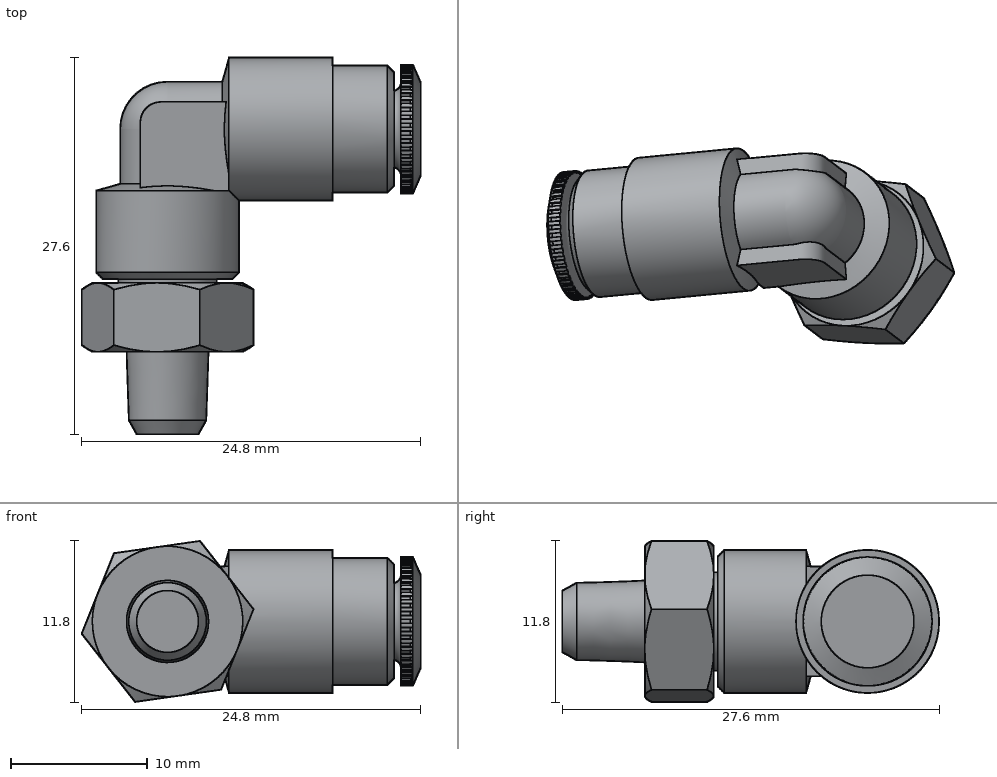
import cadquery as cq
import math


elbow_radius = 3.47
shoulder_start = 4.0
barrel_start = 4.5
barrel_radius = 5.23

web_offset = 1.98
web_thickness = 8.05
web_corner_radius = 1.5

tube_barrel_end = 12.07
sleeve_radius = 4.65
sleeve_end = 16.55
edge_chamfer = 0.5

collar_neck_radius = 2.8
collar_flare_end_radius = 3.35
collar_flare_arc = 0.65
rim_start = 17.05
rim_radius = 4.7
rim_end = 17.94
collar_end = 18.5
collar_end_radius = 3.4

groove_count = 50
groove_depth = 0.15
groove_floor_end = 17.75
groove_width = math.pi * rim_radius / groove_count

overall_length = 27.55
thread_end = overall_length - barrel_radius
thread_barrel_end = 10.96
shank_radius = 3.6
nut_start = 11.25
nut_end = 16.28
nut_across_flats = 11.0
nut_angle = 8.1
nut_chamfer_angle = 30.0
thread_root_radius = 3.0
thread_tip_radius = 2.85
thread_taper_end = 21.27
thread_end_radius = 2.25


def turned(profile):
    """Solid turned about the X axis from (station, radius) points."""
    axis_start = (profile[0][0], 0)
    axis_end = (profile[-1][0], 0)
    outline = [axis_start] + profile + [axis_end]
    return cq.Workplane("XY").polyline(outline).close().revolve(360, (0, 0, 0), (1, 0, 0))


def tube_arm():
    return turned([
        (0, elbow_radius),
        (shoulder_start, elbow_radius),
        (barrel_start, barrel_radius),
        (tube_barrel_end, barrel_radius),
        (tube_barrel_end, sleeve_radius),
        (sleeve_end - edge_chamfer, sleeve_radius),
        (sleeve_end, sleeve_radius - edge_chamfer),
    ])


def release_collar():
    """Knurled rim on a neck that flares into it along a concave arc."""
    plain_collar = (
        cq.Workplane("XY")
        .moveTo(sleeve_end, 0)
        .lineTo(sleeve_end, collar_neck_radius)
        .radiusArc((rim_start, collar_flare_end_radius), -collar_flare_arc)
        .lineTo(rim_start, rim_radius)
        .lineTo(rim_end, rim_radius)
        .lineTo(collar_end, collar_end_radius)
        .lineTo(collar_end, 0)
        .close()
        .revolve(360, (0, 0, 0), (1, 0, 0))
    )
    return plain_collar.cut(knurl_grooves())


def knurl_grooves():
    """Flat-bottomed grooves, open towards the sleeve, that ramp out before the rim's end."""
    floor = rim_radius - groove_depth
    overshoot = groove_depth
    ramp_slope = (rim_end - groove_floor_end) / groove_depth
    cutter_end = groove_floor_end + ramp_slope * (groove_depth + overshoot)
    groove = (
        cq.Workplane("XZ")
        .polyline([
            (rim_start - overshoot, floor),
            (groove_floor_end, floor),
            (cutter_end, rim_radius + overshoot),
            (rim_start - overshoot, rim_radius + overshoot),
        ])
        .close()
        .extrude(groove_width / 2, both=True)
    )
    pitch = 360 / groove_count
    cutters = [
        groove.rotate((0, 0, 0), (1, 0, 0), (index + 0.5) * pitch).val()
        for index in range(groove_count)
    ]
    return cq.Workplane(cq.Compound.makeCompound(cutters))


def thread_body():
    return turned([
        (0, elbow_radius),
        (shoulder_start, elbow_radius),
        (barrel_start, barrel_radius),
        (thread_barrel_end - edge_chamfer, barrel_radius),
        (thread_barrel_end, barrel_radius - edge_chamfer),
        (thread_barrel_end, shank_radius),
        (nut_end, shank_radius),
        (nut_end, thread_root_radius),
        (thread_taper_end, thread_tip_radius),
        (thread_end, thread_end_radius),
    ])


def hex_nut():
    """Hexagon whose corners are trimmed by a cone at each end."""
    corner_radius = nut_across_flats / 2 / math.cos(math.pi / 6)
    face_radius = nut_across_flats / 2
    corner_trim = (corner_radius - face_radius) * math.tan(math.radians(nut_chamfer_angle))
    hexagon = (
        cq.Workplane("YZ", origin=(nut_start, 0, 0))
        .polygon(6, 2 * corner_radius)
        .extrude(nut_end - nut_start)
        .rotate((0, 0, 0), (1, 0, 0), nut_angle)
    )
    envelope = turned([
        (nut_start, face_radius),
        (nut_start + corner_trim, corner_radius),
        (nut_end - corner_trim, corner_radius),
        (nut_end, face_radius),
    ])
    return hexagon.intersect(envelope)


def thread_arm():
    """Built along +X like the tube arm, then swung round to -Y."""
    return thread_body().union(hex_nut()).rotate((0, 0, 0), (0, 0, 1), -90)


def corner_web():
    side = web_offset + barrel_start
    return (
        cq.Workplane("XY")
        .box(side, side, web_thickness)
        .translate(((barrel_start - web_offset) / 2, (web_offset - barrel_start) / 2, 0))
        .edges("|Z and <X and >Y")
        .fillet(web_corner_radius)
    )


elbow = cq.Workplane("XY").sphere(elbow_radius)
result = (
    tube_arm()
    .union(release_collar())
    .union(thread_arm())
    .union(elbow)
    .union(corner_web())
)